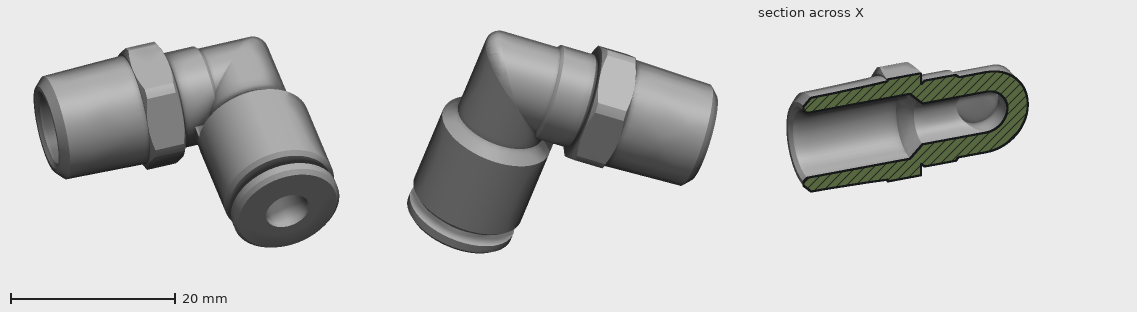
import cadquery as cq
import math


tube_radius = 5.5
corner_radius = 1.5

body_radius = 7.0
cone_start = 6.0
body_start = cone_start + body_radius - tube_radius
body_end = 18.5
flange_start = 20.0
flange_end = 21.5
flange_radius = 6.75
neck_radius = 4.6
neck_flare = 0.3
rim_chamfer = 0.5

collar_radius = 5.9
collar_start = 3.6
collar_chamfer = collar_radius - tube_radius
nut_start = 8.5

nut_across_flats = 14.0
nut_across_corners = nut_across_flats / math.cos(math.pi / 6)
nut_corner_radius = 7.75
nut_length = 4.5
nut_end = nut_start + nut_length
nut_chamfer_angle = 30.0

thread_end = 24.0
thread_start_radius = 6.75
thread_taper = 1 / 32
thread_chamfer = 1.0

bore_radius = 4.4
bore_chamfer = 0.45
bore_depth = 14.0
passage_radius = 2.75
floor_angle = 45.0

web_thickness = 2.0


def revolve_x(points):
    """Solid of revolution about X from (distance along +X, radius) points."""
    return cq.Workplane("XY").polyline(points).close().revolve(360, (0, 0), (1, 0))


def revolve_y(points):
    """Solid of revolution about Y from (distance along -Y, radius) points."""
    outline = [(radius, -distance) for distance, radius in points]
    return cq.Workplane("XY").polyline(outline).close().revolve(360, (0, 0), (0, 1))


def tube(inner_side, direction, start, end):
    """Round tube along a direction from the origin, its seam kept on the inner side of the elbow."""
    plane = cq.Plane(origin=(0, 0, 0), xDir=inner_side, normal=direction)
    return cq.Workplane(plane).workplane(offset=start).circle(tube_radius).extrude(end - start)


def tube_x(start, end):
    return tube((0, -1, 0), (1, 0, 0), start, end)


def tube_y(start, end):
    return tube((1, 0, 0), (0, -1, 0), start, end)


def make_elbow():
    """Mitred tube elbow with a rounded outer corner."""
    corner_box = cq.Workplane("XY").box(tube_radius, tube_radius, 2 * tube_radius)
    corner_box = corner_box.translate((-tube_radius / 2, tube_radius / 2, 0))
    corner = tube_x(-tube_radius, tube_radius).intersect(tube_y(-tube_radius, tube_radius))
    corner = corner.intersect(corner_box)
    mitre_edges = cq.selectors.BoxSelector(
        (-tube_radius, tube_radius / 4, -tube_radius),
        (-tube_radius / 4, tube_radius, tube_radius),
    )
    rounded_corner = corner.edges(mitre_edges).fillet(corner_radius)
    return tube_x(0, cone_start).union(tube_y(0, collar_start)).union(rounded_corner)


def make_push_in_body():
    """Coned body, neck and release flange."""
    return revolve_x([
        (cone_start, 0),
        (cone_start, tube_radius),
        (body_start, body_radius),
        (body_end - rim_chamfer, body_radius),
        (body_end, body_radius - rim_chamfer),
        (body_end, neck_radius),
        (flange_start - neck_flare, neck_radius),
        (flange_start, neck_radius + neck_flare),
        (flange_start, flange_radius),
        (flange_end - rim_chamfer, flange_radius),
        (flange_end, flange_radius - rim_chamfer),
        (flange_end, 0),
    ])


def make_collar():
    """Collar with both rims chamfered."""
    return revolve_y([
        (collar_start, 0),
        (collar_start, collar_radius - collar_chamfer),
        (collar_start + collar_chamfer, collar_radius),
        (nut_start - collar_chamfer, collar_radius),
        (nut_start, collar_radius - collar_chamfer),
        (nut_start, 0),
    ])


def make_nut():
    """Hexagon with corners turned round and both ends chamfered."""
    face_radius = nut_across_flats / 2
    chamfer_length = (nut_corner_radius - face_radius) * math.tan(math.radians(nut_chamfer_angle))
    hexagon = (
        cq.Workplane("XZ")
        .workplane(offset=nut_start)
        .polygon(6, nut_across_corners)
        .extrude(nut_length)
    )
    envelope = revolve_y([
        (nut_start, 0),
        (nut_start, face_radius),
        (nut_start + chamfer_length, nut_corner_radius),
        (nut_end - chamfer_length, nut_corner_radius),
        (nut_end, face_radius),
        (nut_end, 0),
    ])
    return hexagon.intersect(envelope)


def make_thread():
    """Tapered thread blank with a chamfered end."""
    chamfer_start = thread_end - thread_chamfer
    end_radius = thread_start_radius - (chamfer_start - nut_end) * thread_taper
    return revolve_y([
        (nut_end, 0),
        (nut_end, thread_start_radius),
        (chamfer_start, end_radius),
        (thread_end, end_radius - thread_chamfer),
        (thread_end, 0),
    ])


def make_web():
    """Flat web filling the gap between the collar and the push-in body."""
    half_thickness = web_thickness / 2
    web_bottom = math.sqrt(body_radius**2 - half_thickness**2)
    return (
        cq.Workplane("XY")
        .moveTo(0, -web_bottom)
        .lineTo(body_start, -web_bottom)
        .lineTo(body_start, 0)
        .lineTo(0, 0)
        .close()
        .extrude(half_thickness, both=True)
    )


def make_bore():
    """Chamfered main bore with a conical floor, leading to a passage that turns out along +X."""
    floor_start = thread_end - bore_depth
    floor_length = (bore_radius - passage_radius) / math.tan(math.radians(floor_angle))
    inlet = revolve_y([
        (0, 0),
        (0, passage_radius),
        (floor_start - floor_length, passage_radius),
        (floor_start, bore_radius),
        (thread_end - bore_chamfer, bore_radius),
        (thread_end, bore_radius + bore_chamfer),
        (thread_end, 0),
    ])
    outlet = (
        cq.Workplane("YZ")
        .workplane(offset=-passage_radius)
        .circle(passage_radius)
        .extrude(passage_radius + flange_end)
    )
    return inlet.union(outlet)


result = (
    make_elbow()
    .union(make_push_in_body())
    .union(make_collar())
    .union(make_nut())
    .union(make_thread())
    .union(make_web())
    .cut(make_bore())
)